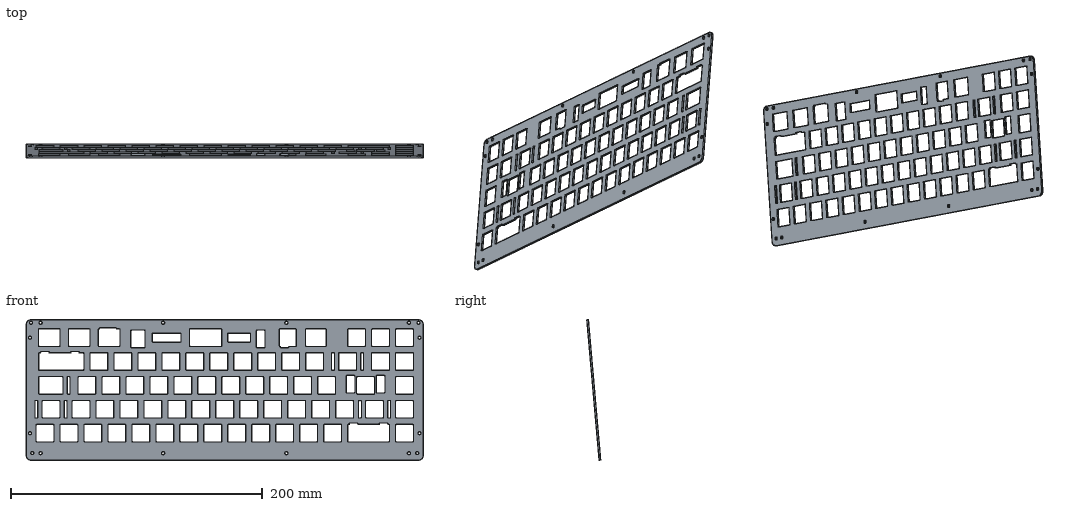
import cadquery as cq


PLATE_LENGTH = 315.75
PLATE_WIDTH = 112.1
PLATE_THICKNESS = 1.5
PLATE_CORNER_RADIUS = 4.0
UPRIGHT_ANGLE = 90.0
LEAN_ANGLE = 5.013
CUT_DEPTH = 3 * PLATE_THICKNESS

KEY_UNIT = 19.05
SWITCH_SIZE = 14.0
OPENING_CORNER_RADIUS = 0.5
ROW_COUNT = 5
TOP_ROW_Y = 41.755
ROW_Y = [TOP_ROW_Y - row * KEY_UNIT for row in range(ROW_COUNT)]
TOP, SECOND, THIRD, FOURTH, BOTTOM = range(ROW_COUNT)

SWITCH_COLUMNS = {
    TOP: [5.5, 6.5, 7.5],
    SECOND: [-5.25 + key for key in range(10)] + [5.125, 6.5, 7.5],
    THIRD: [-5.75 + key for key in range(11)] + [5.875, 7.5],
    FOURTH: [-7.25] + [-6.0 + key for key in range(12)] + [6.25, 7.5],
    BOTTOM: [-7.5 + key for key in range(13)] + [7.5],
}

SLOT_OFFSET = 11.6
SLOT_WIDTH = 2.1
POCKET_OFFSET = 11.94
POCKET_WIDTH = 6.75
POCKET_SHIFT = 1.0
BOTH_SIDES = (-1, 1)
RIGHT_SIDE = (1,)

SLOTTED_KEYS = [(5.125, SECOND), (-7.25, FOURTH), (6.25, FOURTH)]
POCKETED_KEYS = [(-6.875, SECOND), (5.875, THIRD), (6.0, BOTTOM)]

WIDE_LEFT_X = -147.8
SECOND_ROW_WIDE_COLUMN = -6.25
THIRD_ROW_WIDE_COLUMN = -7.125
BOTTOM_WIDE_COLUMNS = (5.5, 6.5)

LEFT_OPENING_WIDTH = 17.0
LEFT_OPENING_X = -139.5
LEFT_OPENING_PITCH = 1.25 * KEY_UNIT
LEFT_OPENING_COUNT = 3
STEP_X = -92.9
STEP_WIDTH = 13.5
STEP_RISE = 0.8

LEVEL_OPENINGS = [(-15.2, 25.6), (50.1, 13.2), (72.4, 16.2)]
LOWERED_OPENINGS = [(-69.0, 11.2), (28.6, POCKET_WIDTH), (47.5, POCKET_WIDTH)]
LOW_OPENINGS = [(-46.2, 22.8), (11.4, 18.0)]
LOW_OPENING_HEIGHT = 7.1

SCREW_DIAMETER = 2.4
SCREW_TOP_Y = 53.6
SCREW_BOTTOM_Y = -50.4
SCREW_COLUMNS_X = [49.0, 146.4]
SIDE_SCREW_X = 154.8
CORNER_HOLE_DIAMETER = 2.3
TOP_CORNER_X = 154.0
BOTTOM_CORNER_X = 153.0


def opening(x, y, width, height=SWITCH_SIZE):
    """Cutter for a round-cornered rectangular opening centred at (x, y)."""
    cutter = cq.Workplane("XY").box(width, height, CUT_DEPTH)
    return cutter.edges("|Z").fillet(OPENING_CORNER_RADIUS).translate((x, y, 0))


def opening_between(left, right, y):
    """Cutter of switch height between two X limits."""
    return opening((left + right) / 2, y, right - left)


def slots(column, row, sides=BOTH_SIDES):
    """Narrow stabilizer slots beside the key at the given column."""
    return [opening(column * KEY_UNIT + side * SLOT_OFFSET, ROW_Y[row], SLOT_WIDTH) for side in sides]


def pockets(column, row):
    """Stabilizer pockets beside the key at the given column, shifted up from the row."""
    y = ROW_Y[row] + POCKET_SHIFT
    return [opening(column * KEY_UNIT + side * POCKET_OFFSET, y, POCKET_WIDTH) for side in BOTH_SIDES]


def switch_openings():
    cutters = []
    for row, columns in SWITCH_COLUMNS.items():
        for column in columns:
            cutters.append(opening(column * KEY_UNIT, ROW_Y[row], SWITCH_SIZE))
    return cutters


def stabilizer_openings():
    cutters = slots(THIRD_ROW_WIDE_COLUMN, THIRD, RIGHT_SIDE)
    for column, row in SLOTTED_KEYS:
        cutters += slots(column, row)
    for column, row in POCKETED_KEYS:
        cutters += pockets(column, row)
    return cutters


def wide_openings():
    half_switch = SWITCH_SIZE / 2
    second_right = SECOND_ROW_WIDE_COLUMN * KEY_UNIT + half_switch
    third_right = THIRD_ROW_WIDE_COLUMN * KEY_UNIT + half_switch
    bottom_left = BOTTOM_WIDE_COLUMNS[0] * KEY_UNIT - half_switch
    bottom_right = BOTTOM_WIDE_COLUMNS[1] * KEY_UNIT + half_switch
    return [
        opening_between(WIDE_LEFT_X, second_right, ROW_Y[SECOND]),
        opening_between(WIDE_LEFT_X, third_right, ROW_Y[THIRD]),
        opening_between(bottom_left, bottom_right, ROW_Y[BOTTOM]),
    ]


def top_row_openings():
    cutters = [opening(STEP_X, TOP_ROW_Y + STEP_RISE, STEP_WIDTH)]
    for index in range(LEFT_OPENING_COUNT):
        x = LEFT_OPENING_X + index * LEFT_OPENING_PITCH
        cutters.append(opening(x, TOP_ROW_Y, LEFT_OPENING_WIDTH))
    for x, width in LEVEL_OPENINGS:
        cutters.append(opening(x, TOP_ROW_Y, width))
    for x, width in LOWERED_OPENINGS:
        cutters.append(opening(x, TOP_ROW_Y - POCKET_SHIFT, width))
    for x, width in LOW_OPENINGS:
        cutters.append(opening(x, TOP_ROW_Y, width, LOW_OPENING_HEIGHT))
    return cutters


def mirrored(x, y):
    """The point (x, y) and its mirror image across the plate's middle."""
    return [(-x, y), (x, y)]


def hole_cutters(points, diameter):
    radius = diameter / 2
    return [
        cq.Workplane("XY").circle(radius).extrude(CUT_DEPTH / 2, both=True).translate((x, y, 0))
        for x, y in points
    ]


def screw_holes():
    points = []
    for x in SCREW_COLUMNS_X:
        points += mirrored(x, SCREW_TOP_Y)
        points += mirrored(x, SCREW_BOTTOM_Y)
    for row in (TOP, BOTTOM):
        points += mirrored(SIDE_SCREW_X, ROW_Y[row])
    return hole_cutters(points, SCREW_DIAMETER)


def corner_holes():
    points = mirrored(TOP_CORNER_X, SCREW_TOP_Y) + mirrored(BOTTOM_CORNER_X, SCREW_BOTTOM_Y)
    return hole_cutters(points, CORNER_HOLE_DIAMETER)


def flat_plate():
    """The finished plate, lying flat and centred on the origin."""
    sheet = cq.Workplane("XY").box(PLATE_LENGTH, PLATE_WIDTH, PLATE_THICKNESS)
    sheet = sheet.edges("|Z").fillet(PLATE_CORNER_RADIUS)
    cutters = switch_openings() + stabilizer_openings() + wide_openings() + top_row_openings()
    cutters += screw_holes() + corner_holes()
    solid = sheet.val().cut(*[cutter.val() for cutter in cutters])
    return cq.Workplane("XY").newObject(solid.Solids())


result = flat_plate().rotate((0, 0, 0), (1, 0, 0), UPRIGHT_ANGLE + LEAN_ANGLE)